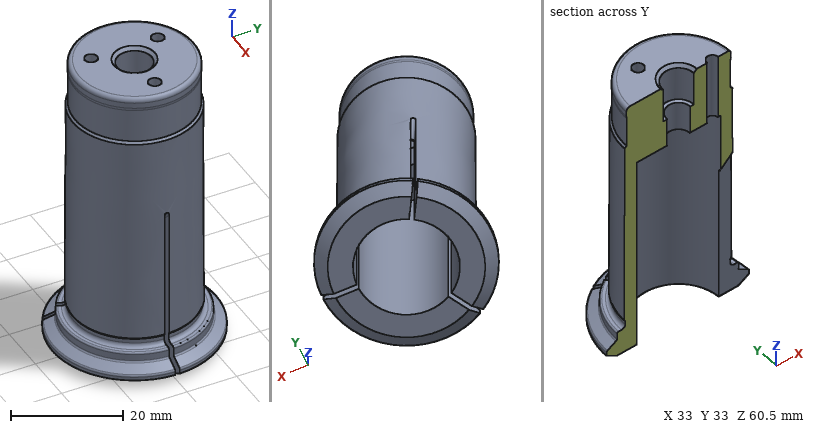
import cadquery as cq
import math

height = 60.5
flange_radius = 33.0 / 2

flange_bottom_radius = 14.05
flange_rim_bottom_z = 1.5
flange_rim_top_z = 2.3
flange_rim_round = (16.3, 2.7)
collar_radius = 14.1
collar_cone_foot = (14.35, 3.9)
collar_foot_z = 4.25
collar_top_z = 5.9
collar_round = 0.35

groove_radius = 12.2
groove_cove = 0.85
body_bottom_z = 7.9
body_bottom_chamfer = 0.35

body_bottom_radius = 12.45
body_top_radius = 12.35
body_top_z = 51.1
body_top_chamfer = 0.5
neck_radius = 11.9
neck_top_z = 57.95
head_radius = 12.0
head_bottom_z = 58.5
head_face_radius = 22.2 / 2
head_round = head_radius - head_face_radius

clamping_bore_diameter = 19.05
clamping_bore_depth = 45.4
through_hole_diameter = 5.2
screw_hole_diameter = 6.9
screw_hole_depth = 8.5
screw_hole_mouth_diameter = 8.2

division_count = 3
coolant_hole_diameter = 2.5
coolant_circle_radius = 7.75
slot_width = 0.9
slot_top_z = 34.65
slot_end_slope = 45


def arc_midpoint(center_r, center_z, radius, angle):
    """Point of a profile arc at the given angle in degrees."""
    a = math.radians(angle)
    return center_r + radius * math.cos(a), center_z + radius * math.sin(a)


def make_body():
    """Solid of revolution; the profile is radius against height."""
    cove_middle = arc_midpoint(
        groove_radius + groove_cove, collar_top_z + groove_cove, groove_cove, 225
    )
    collar_middle = arc_midpoint(
        collar_radius - collar_round, collar_top_z - collar_round, collar_round, 45
    )
    head_middle = arc_midpoint(head_face_radius, height - head_round, head_round, 45)
    profile = (
        cq.Workplane("XZ")
        .lineTo(flange_bottom_radius, 0)
        .lineTo(flange_radius, flange_rim_bottom_z)
        .lineTo(flange_radius, flange_rim_top_z)
        .tangentArcPoint(flange_rim_round, relative=False)
        .lineTo(*collar_cone_foot)
        .tangentArcPoint((collar_radius, collar_foot_z), relative=False)
        .lineTo(collar_radius, collar_top_z - collar_round)
        .threePointArc(collar_middle, (collar_radius - collar_round, collar_top_z))
        .lineTo(groove_radius + groove_cove, collar_top_z)
        .threePointArc(cove_middle, (groove_radius, collar_top_z + groove_cove))
        .lineTo(groove_radius, body_bottom_z - body_bottom_chamfer)
        .lineTo(body_bottom_radius, body_bottom_z)
        .lineTo(body_top_radius, body_top_z - body_top_chamfer)
        .lineTo(neck_radius, body_top_z)
        .lineTo(neck_radius, neck_top_z)
        .lineTo(head_radius, head_bottom_z)
        .lineTo(head_radius, height - head_round)
        .threePointArc(head_middle, (head_face_radius, height))
        .lineTo(0, height)
        .close()
    )
    return profile.revolve(360, (0, 0, 0), (0, 1, 0))


def make_bores():
    """Clamping bore from below, stepped and countersunk screw hole from above."""
    clamping_bore = cq.Workplane("XY").circle(clamping_bore_diameter / 2).extrude(clamping_bore_depth)
    through_hole = cq.Workplane("XY").circle(through_hole_diameter / 2).extrude(height)
    top = cq.Workplane("XY").workplane(offset=height)
    screw_hole = top.circle(screw_hole_diameter / 2).extrude(-screw_hole_depth)
    mouth_depth = (screw_hole_mouth_diameter - screw_hole_diameter) / 2
    mouth = top.circle(screw_hole_mouth_diameter / 2).extrude(-mouth_depth, taper=45)
    return clamping_bore.union(through_hole).union(screw_hole).union(mouth)


def make_coolant_holes():
    return (
        cq.Workplane("XY")
        .polarArray(coolant_circle_radius, 0, 360, division_count)
        .circle(coolant_hole_diameter / 2)
        .extrude(height)
    )


def make_slot():
    """Slot through the wall on +X, open at the bottom, with a rounded sloping end."""
    slope = math.radians(slot_end_slope)
    half_width = slot_width / 2
    end_z = slot_top_z - half_width / math.cos(slope)

    def slope_z(radius):
        return end_z + (radius - body_bottom_radius) * math.tan(slope)

    inner = clamping_bore_diameter / 2 - 2 * slot_width
    outer = flange_radius + 2 * slot_width
    sides = (
        cq.Workplane("XZ")
        .polyline([(inner, 0), (outer, 0), (outer, slope_z(outer)), (inner, slope_z(inner))])
        .close()
        .extrude(half_width, both=True)
    )
    end_plane = cq.Plane(
        origin=(inner, 0, slope_z(inner)),
        xDir=(0, 1, 0),
        normal=(math.cos(slope), 0, math.sin(slope)),
    )
    end_round = cq.Workplane(end_plane).circle(half_width).extrude((outer - inner) / math.cos(slope))
    return sides.union(end_round)


result = make_body().cut(make_bores()).cut(make_coolant_holes())
slot = make_slot()
for index in range(division_count):
    result = result.cut(slot.rotate((0, 0, 0), (0, 0, 1), index * 360 / division_count))